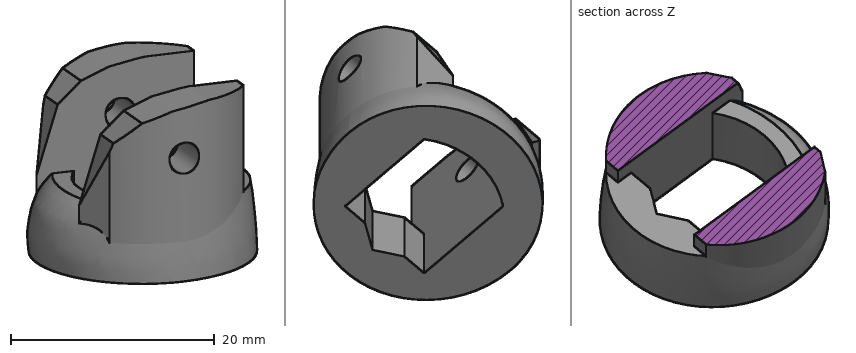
import cadquery as cq
import math

axis_y = -0.32
ring_height = 7.25
total_height = 18.1
slot_width = 10.95
slot_half = slot_width / 2

ring_base_width = 22.48
ring_base_half_width = ring_base_width / 2
ring_sections = [
    (0.0, ring_base_half_width, 11.32, -11.16),
    (2.04, 11.16, 11.23, -11.3),
    (4.19, 10.95, 11.07, -10.91),
    (5.89, 10.73, 10.87, -10.0),
    (ring_height, 10.65, 10.65, -8.47),
]

opening_rear_y = 5.98
opening_front_y = -6.75
opening_front_radius = 9.37
notch_half_width = 2.75
notch_tip_y = 7.65

cheek_outer_x = 10.98
cheek_rear_y = 7.77
cheek_rear_outer_x = 7.2
cheek_front_y = -8.99
chamfer_outer_x = 8.54
chamfer_outer_y = -7.02
cheek_top_edge = [
    (cheek_rear_y, total_height),
    (2.65, total_height),
    (1.5, 17.95),
    (-1.3, 17.5),
    (-4.25, 16.4),
    (-6.72, 14.25),
    (cheek_front_y, ring_height),
]

pin_diameter = 3.17
pin_y = -0.05
pin_z = 12.57


def half_ring(is_rear):
    """Loft half-ellipses on one side of the plane through its widest place."""
    start_angle = 0 if is_rear else 180
    sections = cq.Workplane("XY").center(0, axis_y)
    previous_height = 0
    for height, half_width, rear_y, front_y in ring_sections:
        depth = rear_y - axis_y if is_rear else axis_y - front_y
        sections = (
            sections.workplane(offset=height - previous_height)
            .ellipseArc(half_width, depth, start_angle, start_angle + 180, startAtCurrent=False)
            .close()
        )
        previous_height = height
    return sections.loft(combine=True)


def ring_opening():
    """Straight-sided opening with a curved front and a pointed rear notch."""
    arc_center_y = opening_front_y + opening_front_radius
    arc_end_y = arc_center_y - math.sqrt(opening_front_radius**2 - slot_half**2)
    return (
        cq.Workplane("XY")
        .moveTo(-slot_half, arc_end_y)
        .threePointArc((0, opening_front_y), (slot_half, arc_end_y))
        .lineTo(slot_half, opening_rear_y)
        .lineTo(notch_half_width, opening_rear_y)
        .lineTo(0, notch_tip_y)
        .lineTo(-notch_half_width, opening_rear_y)
        .lineTo(-slot_half, opening_rear_y)
        .close()
        .extrude(total_height)
    )


def cheek(side):
    """One upright cheek; side is +1 for +X and -1 for -X."""
    plan = (
        cq.Workplane("XY")
        .moveTo(side * slot_half, cheek_rear_y)
        .lineTo(side * cheek_rear_outer_x, cheek_rear_y)
        .threePointArc((side * cheek_outer_x, axis_y), (side * chamfer_outer_x, chamfer_outer_y))
        .lineTo(side * slot_half, cheek_front_y)
        .close()
        .extrude(total_height)
    )
    side_outline = [(cheek_rear_y, 0)] + cheek_top_edge + [(cheek_front_y, 0)]
    profile = cq.Workplane("YZ").polyline(side_outline).close().extrude(total_height, both=True)
    return plan.intersect(profile)


ring = half_ring(True).union(half_ring(False)).cut(ring_opening())
body = ring.union(cheek(1)).union(cheek(-1))

pin_hole = (
    cq.Workplane("YZ").center(pin_y, pin_z).circle(pin_diameter / 2).extrude(total_height, both=True)
)
result = body.cut(pin_hole)